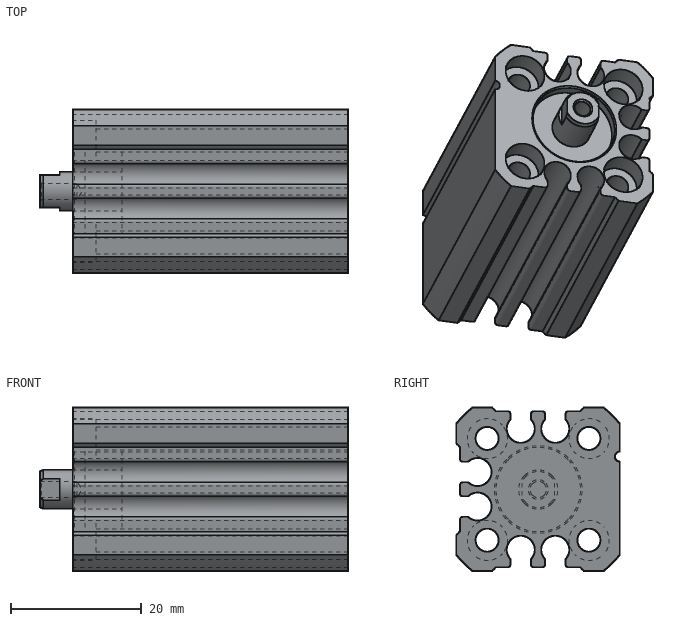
import cadquery as cq
import math

overall_length = 47.1
housing_width = 25.0
rod_protrusion = 5.05
housing_length = overall_length - rod_protrusion
half_width = housing_width / 2
corner_circle_radius = 16.0

relief_depth = 0.55
relief_half_width = 7.0
relief_floor = half_width - relief_depth
slot_spacing = 5.28
slot_mouth_width = 3.1
slot_round_radius = 2.1
slot_round_height = 9.25
slot_lip_radius = 0.45
slotted_face_angles = [0, 90, 180]

groove_radius = 0.75
groove_height = 5.0

mounting_spacing = 15.55
mounting_hole_diameter = 3.5
counterbore_diameter = 6.1
counterbore_depth = 3.5

bore_diameter = 12.9
bore_chamfer = 0.25
cover_recess = 1.8
cover_thickness = 5.65
bore_depth = cover_recess + cover_thickness

rod_diameter = 6.0
rod_chamfer_length = 0.55
rod_chamfer_height = 0.25
flats_width = 5.0
flats_length = 3.0
rod_hole_diameter = 2.5
rod_hole_mouth_diameter = 3.0
rod_hole_depth = 5.65
drill_point_angle = 118.0


def cylinder_along_x(diameter, start, length):
    """Return a cylinder on the X axis that begins at X = start."""
    return cq.Workplane("YZ", origin=(start, 0, 0)).circle(diameter / 2).extrude(length)


def make_face_cutter():
    """Return the material removed from the +Z face: the relief and its two keyhole slots."""
    section = cq.Workplane("YZ")
    relief_floor_half_width = relief_half_width - relief_depth
    cutter = section.polyline([
        (-relief_half_width, half_width),
        (-relief_floor_half_width, relief_floor),
        (relief_floor_half_width, relief_floor),
        (relief_half_width, half_width),
    ]).close().extrude(housing_length)

    mouth_height = half_width - slot_round_height
    for side in (-1, 1):
        slot_y = side * slot_spacing / 2
        mouth = (
            section.center(slot_y, slot_round_height + mouth_height / 2)
            .rect(slot_mouth_width, mouth_height)
            .extrude(housing_length)
        )
        slot_round = (
            section.center(slot_y, slot_round_height)
            .circle(slot_round_radius)
            .extrude(housing_length)
        )
        cutter = cutter.union(mouth).union(slot_round)

    for side in (-1, 1):
        for edge_side in (-1, 1):
            lip_y = side * slot_spacing / 2 + edge_side * slot_mouth_width / 2
            lip = cq.selectors.NearestToPointSelector((housing_length / 2, lip_y, relief_floor))
            cutter = cutter.edges("|X").edges(lip).fillet(slot_lip_radius)
    return cutter


def make_housing():
    """Return the extruded housing with its slots, groove, mounting holes and bore."""
    housing = (
        cq.Workplane("YZ").rect(housing_width, housing_width).extrude(housing_length)
        .intersect(cylinder_along_x(2 * corner_circle_radius, 0, housing_length))
    )

    face_cutter = make_face_cutter()
    for angle in slotted_face_angles:
        housing = housing.cut(face_cutter.rotate((0, 0, 0), (1, 0, 0), angle))

    groove = (
        cq.Workplane("YZ").center(half_width, groove_height)
        .circle(groove_radius)
        .extrude(housing_length)
    )
    housing = housing.cut(groove)

    mounting_centers = (
        cq.Workplane("YZ")
        .rect(mounting_spacing, mounting_spacing, forConstruction=True)
        .vertices()
    )
    mounting_holes = mounting_centers.circle(mounting_hole_diameter / 2).extrude(housing_length)
    counterbores = mounting_centers.circle(counterbore_diameter / 2).extrude(counterbore_depth)
    housing = housing.cut(mounting_holes).cut(counterbores)

    bore_radius = bore_diameter / 2
    bore = (
        cq.Workplane("XY")
        .polyline([
            (0, 0),
            (0, bore_radius + bore_chamfer),
            (bore_chamfer, bore_radius),
            (bore_depth, bore_radius),
            (bore_depth, 0),
        ])
        .close()
        .revolve(360, (0, 0, 0), (1, 0, 0))
    )
    return housing.cut(bore)


def make_cover():
    """Return the ring that closes the bore around the rod."""
    cover = cylinder_along_x(bore_diameter, cover_recess, cover_thickness)
    return cover.cut(cylinder_along_x(rod_diameter, cover_recess, cover_thickness))


def make_rod():
    """Return the rod, which ends level with the back of the cover."""
    tip = -rod_protrusion
    rod_radius = rod_diameter / 2
    rod = (
        cq.Workplane("XY")
        .polyline([
            (tip, 0),
            (tip, rod_radius - rod_chamfer_height),
            (tip + rod_chamfer_length, rod_radius),
            (bore_depth, rod_radius),
            (bore_depth, 0),
        ])
        .close()
        .revolve(360, (0, 0, 0), (1, 0, 0))
    )

    flats_blank = cylinder_along_x(rod_diameter, tip, flats_length)
    flats_core = cq.Workplane("YZ", origin=(tip, 0, 0)).rect(flats_width, rod_diameter).extrude(flats_length)
    rod = rod.cut(flats_blank.cut(flats_core))

    hole_radius = rod_hole_diameter / 2
    mouth_radius = rod_hole_mouth_diameter / 2
    mouth_chamfer = mouth_radius - hole_radius
    point_length = hole_radius / math.tan(math.radians(drill_point_angle / 2))
    hole = (
        cq.Workplane("XY")
        .polyline([
            (tip, 0),
            (tip, mouth_radius),
            (tip + mouth_chamfer, hole_radius),
            (tip + rod_hole_depth, hole_radius),
            (tip + rod_hole_depth + point_length, 0),
        ])
        .close()
        .revolve(360, (0, 0, 0), (1, 0, 0))
    )
    return rod.cut(hole)


housing = make_housing()
cover = make_cover()
rod = make_rod()

result = cq.Compound.makeCompound([
    housing.solids().val(),
    cover.solids().val(),
    rod.solids().val(),
])